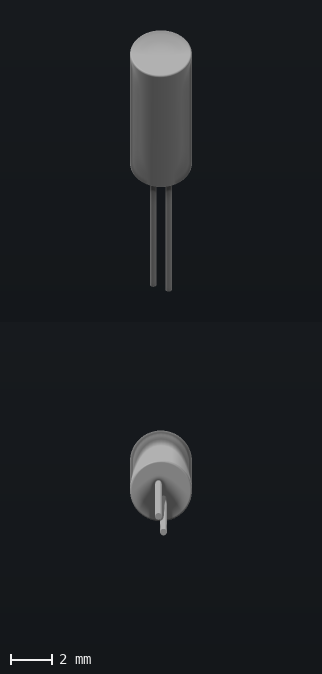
import cadquery as cq

total_height = 17.2
body_diameter = 3.0
body_height = 8.2
edge_radius = 0.095

lead_diameter = 0.33
lead_spacing = 0.8
lead_length = total_height - body_height
lead_overlap = 0.17


def make_body():
    """Cylindrical can standing on Z = 0 with both rims rounded."""
    can = cq.Workplane("XY").circle(body_diameter / 2).extrude(body_height)
    return can.faces("<Z or >Z").edges().fillet(edge_radius)


def make_leads():
    """Two straight round leads side by side along X, below the can."""
    return (
        cq.Workplane("XY")
        .workplane(offset=-lead_length)
        .rarray(lead_spacing, 0.17, 2, 1)
        .circle(lead_diameter / 2)
        .extrude(lead_length + lead_overlap)
    )


result = make_body().union(make_leads())